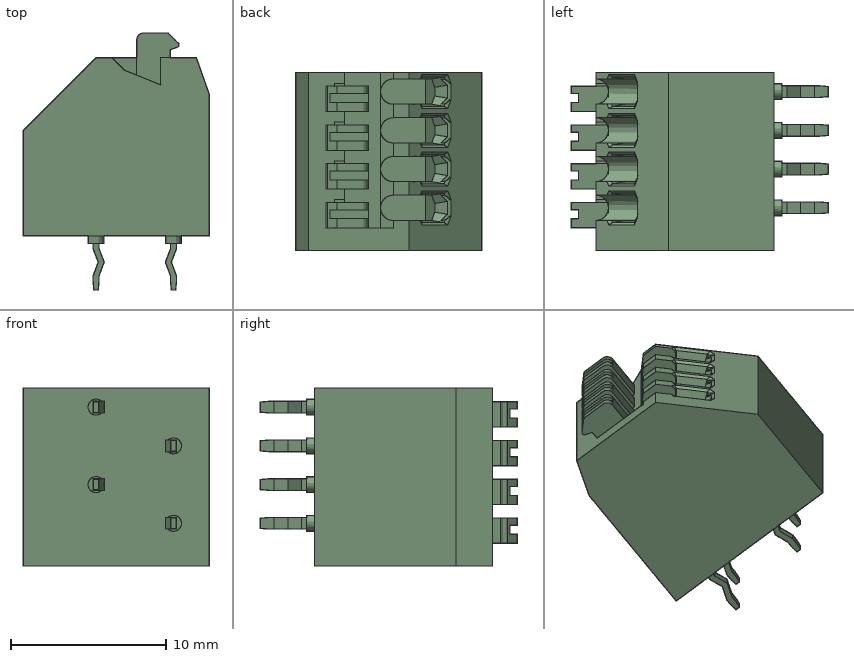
import cadquery as cq
import math

overall_length = 16.6
body_width = 12.0
body_depth = 11.5
body_height = 11.5
entry_chamfer = 4.7
back_slope_run = 0.83
back_slope_drop = 2.35

pole_count = 4
pin_spacing_x = 5.0
pole_pitch = pin_spacing_x / 2
top_pole_z = 10.26
pole_z = [top_pole_z - i * pole_pitch for i in range(pole_count)]

entry_radius = 0.81
entry_axis_x = 5.71
entry_lip_x = 2.0
entry_corner = 0.58
entry_floor_y = body_depth - entry_chamfer + entry_lip_x

mouth_half_height = 1.1
mouth_half_neck = 0.95
mouth_bevel_depth = 0.17
mouth_lead_depth = 1.0
mouth_upper_y = 10.77
mouth_corner_run = 0.3
mouth_corner_rise = 0.53
mouth_end_run = 0.17
mouth_end_rise = 0.27

recess_wall_x = 8.86
recess_floor_y = 9.75
recess_ramp_x = entry_axis_x + entry_radius

lever_front_x = 7.32
lever_back_x = 9.5
lever_tip_y = 13.1
lever_thickness = 1.65
lever_offset_z = -0.46
lever_round = 0.46
lever_flat_end_x = 9.33
lever_nose_x = 10.06
lever_nose_y = 12.32
lever_nose_top = (9.96, 12.47)
lever_nose_bottom = (9.96, 12.17)
lever_hook_y = 12.0
fork_gap = 0.56
fork_depth = 0.46
fork_offset_z = 0.05
lever_clearance = 0.17

pin_left_x = 4.7
collar_radius = 0.51
collar_height = 0.5
pin_thickness = 0.4
pin_width = 0.76
pin_bulge = 0.33
pin_bend_start = 0.83
pin_bend_peak = 1.7
pin_bend_end = 2.59
pin_shoulder = 2.94
pin_length = overall_length - lever_tip_y
pin_tip_thickness = 0.3
pin_tip_width = 0.66


def prism(points, z_low, z_high):
    """Extrude a closed XY outline between two heights."""
    return cq.Workplane("XY").workplane(offset=z_low).polyline(points).close().extrude(z_high - z_low)


def make_housing():
    outline = [
        (0, 0),
        (body_width, 0),
        (body_width, body_depth - back_slope_drop),
        (body_width - back_slope_run, body_depth),
        (entry_chamfer, body_depth),
        (0, body_depth - entry_chamfer),
    ]
    return prism(outline, 0, body_height)


def make_recess():
    """Sloped recess in front of the levers, open at the top of the stack."""
    outline = [
        (entry_axis_x, body_depth),
        (recess_ramp_x, body_depth - entry_radius),
        (recess_wall_x, recess_floor_y),
        (recess_wall_x, body_depth),
    ]
    lowest_lever_z = pole_z[-1] + lever_offset_z - lever_thickness / 2
    return prism(outline, lowest_lever_z, body_height)


def make_lever_guide(z):
    """Pocket behind the recess wall that holds the back of one lever."""
    lever_z = z + lever_offset_z
    height = lever_thickness + lever_clearance
    return cq.Workplane("XY").box(
        lever_back_x - recess_wall_x, body_depth - recess_floor_y, height, centered=False
    ).translate((recess_wall_x, recess_floor_y, lever_z - lever_thickness / 2))


def make_entry_slot(z):
    """Slot with a round rear wall and rounded front corners, open towards +Y."""
    front_length = entry_axis_x - entry_lip_x
    depth = body_depth - entry_floor_y
    front = (
        cq.Workplane("XY")
        .box(front_length, depth, 2 * entry_radius, centered=(False, False, True))
        .edges("|Y and <X")
        .fillet(entry_corner)
        .translate((entry_lip_x, entry_floor_y, z))
    )
    rear = (
        cq.Workplane("XZ", origin=(entry_axis_x, entry_floor_y, z))
        .circle(entry_radius)
        .extrude(-depth)
    )
    return front.union(rear)


def mouth_outline(half_length, half_height):
    """Rectangle with its four corners trimmed, more so at the lower (-Y) end."""
    return [
        (half_length - mouth_end_run, -half_height),
        (half_length, mouth_end_rise - half_height),
        (half_length, half_height - mouth_end_rise),
        (half_length - mouth_end_run, half_height),
        (mouth_corner_run - half_length, half_height),
        (-half_length, half_height - mouth_corner_rise),
        (-half_length, mouth_corner_rise - half_height),
        (mouth_corner_run - half_length, -half_height),
    ]


def make_entry_mouth(z):
    """Bevel and lead-in that widen the slot at the inclined face."""
    middle_y = (entry_floor_y + mouth_upper_y) / 2
    middle_x = middle_y - (body_depth - entry_chamfer)
    half_length = (mouth_upper_y - entry_floor_y) * math.sqrt(2) / 2
    neck_length = half_length - mouth_bevel_depth
    inner_length = neck_length - (mouth_half_neck - entry_radius)
    face = cq.Plane(origin=(middle_x, middle_y, z), xDir=(1, 1, 0), normal=(1, -1, 0))
    bevel = (
        cq.Workplane(face)
        .polyline(mouth_outline(half_length, mouth_half_height)).close()
        .workplane(offset=mouth_bevel_depth)
        .polyline(mouth_outline(neck_length, mouth_half_neck)).close()
        .loft(ruled=True)
    )
    lead_in = (
        cq.Workplane(face)
        .workplane(offset=mouth_bevel_depth)
        .polyline(mouth_outline(neck_length, mouth_half_neck)).close()
        .workplane(offset=mouth_lead_depth)
        .polyline(mouth_outline(inner_length, entry_radius)).close()
        .loft(ruled=True)
    )
    return bevel.union(lead_in)


def make_lever(z):
    lever_z = z + lever_offset_z
    ramp_slope = (body_depth - entry_radius - recess_floor_y) / (recess_wall_x - recess_ramp_x)
    front_foot_y = recess_floor_y + ramp_slope * (recess_wall_x - lever_front_x)
    round_mid = lever_round * (1 - math.sqrt(0.5))
    lever = (
        cq.Workplane("XY", origin=(0, 0, lever_z - lever_thickness / 2))
        .moveTo(lever_front_x, front_foot_y)
        .lineTo(lever_front_x, lever_tip_y - lever_round)
        .threePointArc(
            (lever_front_x + round_mid, lever_tip_y - round_mid),
            (lever_front_x + lever_round, lever_tip_y),
        )
        .lineTo(lever_flat_end_x, lever_tip_y)
        .lineTo(*lever_nose_top)
        .threePointArc((lever_nose_x, lever_nose_y), lever_nose_bottom)
        .lineTo(lever_back_x, lever_hook_y)
        .lineTo(lever_back_x, recess_floor_y)
        .lineTo(recess_wall_x, recess_floor_y)
        .close()
        .extrude(lever_thickness)
    )
    gap_length = lever_nose_x - lever_front_x
    gap = cq.Workplane("XY").box(
        gap_length, fork_depth, fork_gap, centered=(False, False, True)
    ).translate((lever_front_x, lever_tip_y - fork_depth, lever_z + fork_offset_z))
    return lever.cut(gap)


def make_pin(x, z, bulge):
    """Round collar and kinked flat pin with a tapered tip, pointing to -Y."""
    half = pin_thickness / 2
    left_edge = [
        (x - half, 0),
        (x - half, -pin_bend_start),
        (x - half + bulge, -pin_bend_peak),
        (x - half, -pin_bend_end),
        (x - half, -pin_shoulder),
    ]
    right_edge = [(edge_x + pin_thickness, edge_y) for edge_x, edge_y in reversed(left_edge)]
    blade = prism(left_edge + right_edge, z - pin_width / 2, z + pin_width / 2)
    collar = cq.Workplane("XZ", origin=(x, 0, z)).circle(collar_radius).extrude(collar_height)
    tip = (
        cq.Workplane("XZ", origin=(x, -pin_shoulder, z))
        .rect(pin_thickness, pin_width)
        .workplane(offset=pin_length - pin_shoulder)
        .rect(pin_tip_thickness, pin_tip_width)
        .loft()
    )
    return blade.union(collar).union(tip)


result = make_housing().cut(make_recess())
for z in pole_z:
    result = result.cut(make_lever_guide(z)).cut(make_entry_slot(z)).cut(make_entry_mouth(z))

for index, z in enumerate(pole_z):
    result = result.union(make_lever(z))
    if index % 2 == 0:
        result = result.union(make_pin(pin_left_x, z, pin_bulge))
    else:
        result = result.union(make_pin(pin_left_x + pin_spacing_x, z, -pin_bulge))